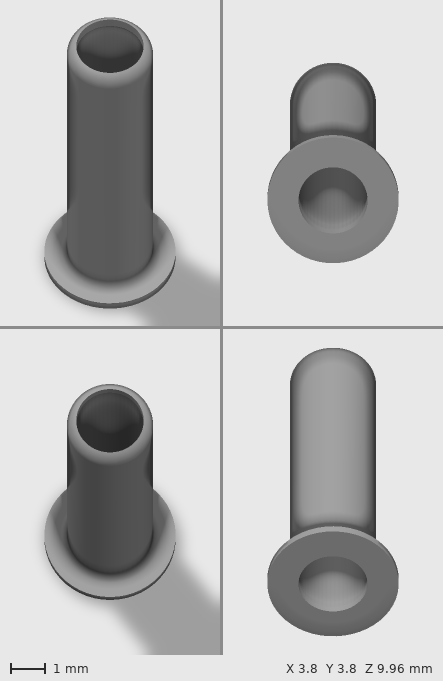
import cadquery as cq
import math

length = 9.96
flange_radius = 3.8 / 2
flange_thickness = 0.25
neck_radius = 0.2

barrel_radius = 2.5 / 2
bore_radius = 2.0 / 2
wall = barrel_radius - bore_radius

mouth_radius = 1.95 / 2
curl_outer_radius = 0.42
curl_inner_radius = curl_outer_radius - wall

curl_centre_r = barrel_radius - curl_outer_radius
mouth_offset = mouth_radius - curl_centre_r
curl_centre_z = length - math.sqrt(curl_outer_radius**2 - mouth_offset**2)
lip_bottom_z = curl_centre_z + math.sqrt(curl_inner_radius**2 - mouth_offset**2)

half_section = (
    cq.Workplane("XZ")
    .moveTo(bore_radius, 0)
    .lineTo(flange_radius, 0)
    .lineTo(flange_radius, flange_thickness)
    .lineTo(barrel_radius + neck_radius, flange_thickness)
    .radiusArc((barrel_radius, flange_thickness + neck_radius), neck_radius)
    .lineTo(barrel_radius, curl_centre_z)
    .radiusArc((mouth_radius, length), -curl_outer_radius)
    .lineTo(mouth_radius, lip_bottom_z)
    .radiusArc((bore_radius, curl_centre_z), curl_inner_radius)
    .close()
)

result = half_section.revolve(360, (0, 0, 0), (0, 1, 0))